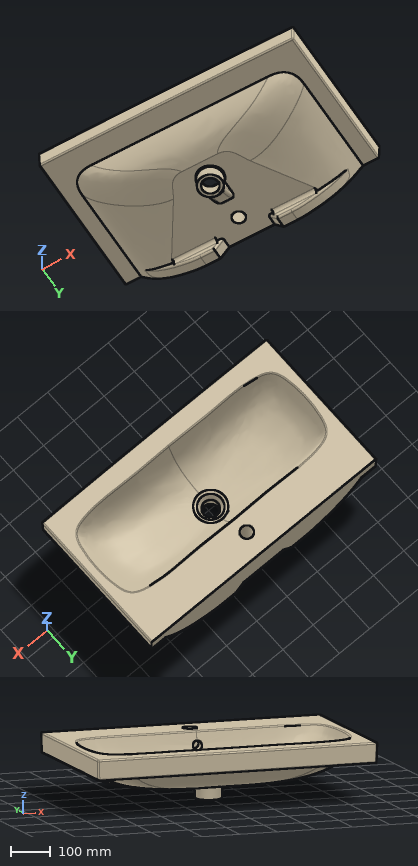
import cadquery as cq
import math


WIDTH = 744.09
DEPTH = 421.82
HEIGHT = 155.01
SLAB_THICKNESS = 53.0
FRONT_BULGE = 2.0
SIDE_DRAFT = 1.5
EDGE_RADIUS = 4.0

TAP_HOLE_DIAMETER = 36.0
TAP_HOLE_Y = -65.0
OVERFLOW_DIAMETER = 24.0
OVERFLOW_Z = -36.0
OVERFLOW_LENGTH = 60.0
OVERFLOW_END_Y = -95.0

RIM_RADIUS = 4.0
BOWL_DEPTH = 106.0
SHELL_DEPTH = 119.0
SIDE_BULGE = 5.5

BOWL_STATIONS = [
    (0.0, 345.0, 112.0, 365.0, 58.0),
    (25.0, 334.0, 118.0, 354.0, 62.0),
    (55.0, 308.0, 127.0, 338.0, 66.0),
    (80.0, 262.0, 138.0, 316.0, 66.0),
    (97.0, 180.0, 151.0, 286.0, 58.0),
    (BOWL_DEPTH, 42.0, 161.0, 245.0, 38.0),
]
SHELL_STATIONS = [
    (SLAB_THICKNESS, 324.0, 324.0, 352.0, 65.0),
    (78.0, 301.0, 295.0, 337.0, 70.0),
    (99.0, 277.0, 248.0, 316.0, 75.0),
    (111.0, 257.0, 190.0, 293.0, 80.0),
    (SHELL_DEPTH, 237.0, 112.0, 256.0, 60.0),
]

DRAIN_Y = -203.0
DRAIN_HOLE_DIAMETER = 46.0
DRAIN_SEAT_DIAMETER = 88.0
DRAIN_STEP_DIAMETER = 69.0
DRAIN_SEAT_DEPTH = 3.5
DRAIN_CONE_DEPTH = 15.0
DRAIN_LIP = 2.0
DRAIN_COLLAR_RADIUS = 37.5
DRAIN_COLLAR_HEIGHT = 3.0
DRAIN_PIPE_TOP_RADIUS = 35.5
DRAIN_PIPE_END_RADIUS = 34.0

WEB_BACK_Y = -123.0
WEB_ARC_POINT = (-146.0, -138.0)
WEB_END_CLEARANCE = 6.0
WEB_WIDTH = 50.0
WEB_EDGE_RADIUS = 10.0

FOOT_THICKNESS = 33.0
FOOT_DEPTH = 150.0
FOOT_ROOT_FILLET_SPAN = (82.0, 208.0)
FOOT_INNER_X = 92.0
FOOT_ROOT_X = 67.0
FOOT_FLAT_END_X = 133.0
FOOT_OUTER_CURVE = [
    (178.0, -143.5),
    (220.0, -130.5),
    (262.0, -109.0),
    (292.0, -86.0),
    (324.0, -SLAB_THICKNESS),
]
FOOT_OUTER_END_DIRECTION = (0.75, 0.66)
FOOT_ROOT_RADIUS = 10.0
FOOT_EDGE_RADIUS = 6.0

OVERLAP = 5.0


def deck_outline(inset, z):
    """Rectangular wire with a crowned front side."""
    half = WIDTH / 2 - inset
    front_y = inset - DEPTH
    corner_y = front_y + FRONT_BULGE
    return (
        cq.Workplane("XY", origin=(0, 0, z))
        .moveTo(-half, 0)
        .lineTo(-half, corner_y)
        .threePointArc((0, front_y), (half, corner_y))
        .lineTo(half, 0)
        .close()
        .val()
    )


def deck_slab():
    draft_angle = math.atan(SIDE_DRAFT / SLAB_THICKNESS)
    trim = EDGE_RADIUS * (math.tan(draft_angle) + 1 / math.cos(draft_angle) - 1)
    slab = loft([deck_outline(-trim, 0), deck_outline(SIDE_DRAFT, -SLAB_THICKNESS)])
    return slab.edges("not >Y").fillet(EDGE_RADIUS)


def bowl_section(depth, half_width, back, front, radius):
    """Closed smooth wire of a rounded rectangle with slightly bulged sides."""
    bulge = SIDE_BULGE * half_width / BOWL_STATIONS[0][1]
    middle = (back + front) / 2
    half_length = (front - back) / 2
    arc_x = half_width - bulge - radius
    arc_y = half_length - bulge - radius
    diagonal = radius * math.sqrt(0.5)
    quadrant = [
        (0, half_length),
        (arc_x / 2, half_length - bulge / 4),
        (arc_x, half_length - bulge),
        (arc_x + diagonal, arc_y + diagonal),
        (half_width - bulge, arc_y),
    ]
    right_half = quadrant + [(half_width, 0)] + [(x, -y) for x, y in reversed(quadrant)]
    left_half = [(-x, y) for x, y in reversed(right_half)]
    return (
        cq.Workplane("XY", origin=(0, -middle, -depth))
        .spline(right_half, tangents=[(1, 0), (-1, 0)])
        .spline(left_half, tangents=[(-1, 0), (1, 0)])
        .wire()
        .val()
    )


def shell_section(depth, back_half_width, front_half_width, front, radius):
    """Wire that is square at the wall, narrows forward and is rounded at the front corners."""
    corner_y = radius - front
    flat_end_x = front_half_width - radius
    side_x = front_half_width - back_half_width
    return (
        cq.Workplane("XY", origin=(0, 0, -depth))
        .moveTo(back_half_width, 0)
        .lineTo(front_half_width, corner_y)
        .spline([(flat_end_x, -front)], tangents=[(side_x, corner_y), (-1, 0)], includeCurrent=True)
        .lineTo(-flat_end_x, -front)
        .spline([(-front_half_width, corner_y)], tangents=[(-1, 0), (side_x, -corner_y)], includeCurrent=True)
        .lineTo(-back_half_width, 0)
        .close()
        .val()
    )


def loft(sections):
    return cq.Workplane(obj=cq.Solid.makeLoft(sections))


def bowl_hollow():
    return loft([bowl_section(*station) for station in BOWL_STATIONS])


def bowl_shell():
    return loft([shell_section(*station) for station in SHELL_STATIONS])


def wall_foot():
    """Foot on the +X side; its outer edge sweeps up to the slab."""
    root_z = OVERLAP - SHELL_DEPTH
    foot = (
        cq.Workplane("XZ")
        .moveTo(FOOT_ROOT_X - OVERLAP, root_z)
        .lineTo(FOOT_INNER_X, -FOOT_DEPTH)
        .lineTo(FOOT_FLAT_END_X, -FOOT_DEPTH)
        .spline(FOOT_OUTER_CURVE, tangents=[(1, 0), FOOT_OUTER_END_DIRECTION], includeCurrent=True)
        .lineTo(FOOT_ROOT_X, -SLAB_THICKNESS)
        .close()
        .extrude(FOOT_THICKNESS)
    )
    return foot.faces("<Y").edges("<Z or (not #Z)").fillet(FOOT_EDGE_RADIUS)


def foot_root_fillet():
    """Concave strip where the front of the +X foot meets the shell underside."""
    start_x, end_x = FOOT_ROOT_FILLET_SPAN
    arc_y = -FOOT_THICKNESS - FOOT_ROOT_RADIUS
    arc_z = -SHELL_DEPTH - FOOT_ROOT_RADIUS
    diagonal = FOOT_ROOT_RADIUS * math.sqrt(0.5)
    buried_y = -FOOT_THICKNESS + OVERLAP
    buried_z = -SHELL_DEPTH + OVERLAP
    return (
        cq.Workplane("YZ", origin=(start_x, 0, 0))
        .moveTo(-FOOT_THICKNESS, arc_z)
        .threePointArc((arc_y + diagonal, arc_z + diagonal), (arc_y, -SHELL_DEPTH))
        .lineTo(arc_y, buried_z)
        .lineTo(buried_y, buried_z)
        .lineTo(buried_y, arc_z)
        .close()
        .extrude(end_x - start_x)
    )


def drain_pipe():
    collar_z = -SHELL_DEPTH - DRAIN_COLLAR_HEIGHT
    pipe = (
        cq.Workplane("XZ", origin=(0, DRAIN_Y, 0))
        .polyline([
            (0, OVERLAP - SHELL_DEPTH),
            (DRAIN_COLLAR_RADIUS, OVERLAP - SHELL_DEPTH),
            (DRAIN_COLLAR_RADIUS, -SHELL_DEPTH),
            (DRAIN_PIPE_TOP_RADIUS, collar_z),
            (DRAIN_PIPE_END_RADIUS, -HEIGHT),
            (0, -HEIGHT),
        ])
        .close()
        .revolve(360, (0, 0, 0), (0, 1, 0))
    )
    web_end_z = -HEIGHT + WEB_END_CLEARANCE
    pipe_back_y = DRAIN_Y + DRAIN_PIPE_END_RADIUS
    web = (
        cq.Workplane("YZ", origin=(-WEB_WIDTH / 2, 0, 0))
        .moveTo(WEB_BACK_Y, -SHELL_DEPTH + OVERLAP)
        .lineTo(WEB_BACK_Y, -SHELL_DEPTH)
        .threePointArc(WEB_ARC_POINT, (pipe_back_y, web_end_z))
        .lineTo(DRAIN_Y, web_end_z)
        .lineTo(DRAIN_Y, -SHELL_DEPTH + OVERLAP)
        .close()
        .extrude(WEB_WIDTH)
        .edges("not (#Z or |Z)")
        .fillet(WEB_EDGE_RADIUS)
    )
    return pipe.union(web)


def drain_bore():
    seat_r = DRAIN_SEAT_DIAMETER / 2
    step_r = DRAIN_STEP_DIAMETER / 2
    hole_r = DRAIN_HOLE_DIAMETER / 2
    seat_z = -BOWL_DEPTH
    return (
        cq.Workplane("XZ", origin=(0, DRAIN_Y, 0))
        .polyline([
            (0, seat_z + OVERLAP),
            (seat_r, seat_z + OVERLAP),
            (seat_r, seat_z),
            (step_r, seat_z - DRAIN_SEAT_DEPTH),
            (hole_r + DRAIN_LIP, seat_z - DRAIN_CONE_DEPTH),
            (hole_r, seat_z - DRAIN_CONE_DEPTH - DRAIN_LIP),
            (hole_r, -HEIGHT - OVERLAP),
            (0, -HEIGHT - OVERLAP),
        ])
        .close()
        .revolve(360, (0, 0, 0), (0, 1, 0))
    )


def tap_hole():
    return cq.Workplane("XY").center(0, TAP_HOLE_Y).circle(TAP_HOLE_DIAMETER / 2).extrude(-HEIGHT)


def overflow_hole():
    return (
        cq.Workplane("XZ", origin=(0, OVERFLOW_END_Y, OVERFLOW_Z))
        .circle(OVERFLOW_DIAMETER / 2)
        .extrude(OVERFLOW_LENGTH)
    )


RIM_EDGES = cq.selectors.BoxSelector((-300, -300, -1), (300, -180, 1))

foot = wall_foot().union(foot_root_fillet())
body = deck_slab().union(bowl_shell()).union(foot).union(foot.mirror("YZ"))
body = body.cut(bowl_hollow())
body = body.edges(RIM_EDGES).fillet(RIM_RADIUS)
body = body.union(drain_pipe())

result = body.cut(drain_bore()).cut(tap_hole()).cut(overflow_hole())